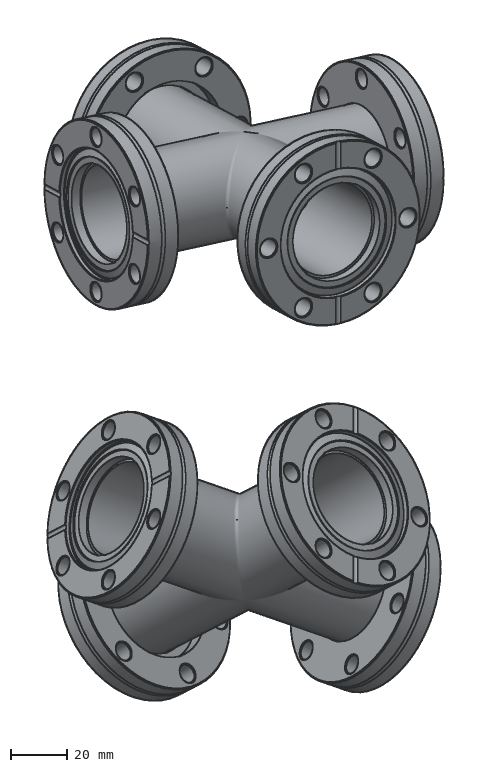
import cadquery as cq
import math

OVERALL_LENGTH = 125.0
FACE_DISTANCE = OVERALL_LENGTH / 2

TUBE_OUTER_DIAMETER = 38.1
SOCKET_DIAMETER = 38.6
TUBE_BORE_DIAMETER = 34.8
TUBE_END_DEPTH = 5.0
BRANCH_FILLET = 1.0

FLANGE_DIAMETER = 69.3
FLANGE_THICKNESS = 13.0
EDGE_CHAMFER = 0.4
RIM_GROOVE_WIDTH = 1.5
RIM_GROOVE_DEPTH = 0.3

BOLT_COUNT = 6
BOLT_HOLE_DIAMETER = 6.8
BOLT_CIRCLE_DIAMETER = 58.8
BOLT_HOLE_CHAMFER = 0.4

LEAK_GROOVE_WIDTH = 2.0
LEAK_GROOVE_DEPTH = 0.5

RECESS_DIAMETER = 48.3
RECESS_CHAMFER = 0.3
KNIFE_DIAMETER = 41.8
KNIFE_DEPTH = 0.9
LAND_DIAMETER = 41.3
LAND_DEPTH = 1.4
CONE_BASE_DIAMETER = 47.0
KNIFE_ANGLE = 20.0
NECK_BORE_DIAMETER = 36.6

INSERT_DIAMETER = 47.8
INSERT_BACK_DEPTH = 7.5
RING_BACK_BORE_DIAMETER = 45.3

ROTATABLE_ARM_ANGLES = (0, 180)
FIXED_ARM_ANGLES = (90, 270)


def revolve_along_z(points):
    """Turn a closed (radius, height) outline about the Z axis."""
    return cq.Workplane("XZ").polyline(points).close().revolve(360, (0, 0), (0, 1))


def arc_radius(width, depth):
    """Radius of the arc that is a groove's bottom, from the groove's width and depth."""
    return ((width / 2)**2 + depth**2) / (2 * depth)


def cone_depth(radius):
    """Depth of the knife cone at a radius outside its tip."""
    return KNIFE_DEPTH + (radius - KNIFE_DIAMETER / 2) * math.tan(math.radians(KNIFE_ANGLE))


def place_on_arm(body, angle, spin=0):
    """Spin a flange part, built with its face at Z = 0 facing up, and move it to the end of an arm."""
    return (
        body.rotate((0, 0, 0), (0, 0, 1), spin)
        .rotate((0, 0, 0), (0, 1, 0), 90)
        .translate((FACE_DISTANCE, 0, 0))
        .rotate((0, 0, 0), (0, 0, 1), angle)
    )


def rim_outline():
    """Outer half of the flange section from front to back, with chamfered edges."""
    radius = FLANGE_DIAMETER / 2
    return [
        (radius - EDGE_CHAMFER, 0),
        (radius, -EDGE_CHAMFER),
        (radius, -FLANGE_THICKNESS + EDGE_CHAMFER),
        (radius - EDGE_CHAMFER, -FLANGE_THICKNESS),
    ]


def knife_outline(outer_radius):
    """Sealing section from outside in: knife cone, inner bevel, land, neck bore and tube seat."""
    return [
        (outer_radius, -cone_depth(outer_radius)),
        (KNIFE_DIAMETER / 2, -KNIFE_DEPTH),
        (LAND_DIAMETER / 2, -LAND_DEPTH),
        (NECK_BORE_DIAMETER / 2, -LAND_DEPTH),
        (NECK_BORE_DIAMETER / 2, -TUBE_END_DEPTH),
        (SOCKET_DIAMETER / 2, -TUBE_END_DEPTH),
    ]


def bolt_hole_cutter():
    """Six through holes, chamfered at both faces, centered between the leak-check grooves."""
    hole_radius = BOLT_HOLE_DIAMETER / 2
    mouth_radius = hole_radius + BOLT_HOLE_CHAMFER
    hole = revolve_along_z([
        (0, 0),
        (mouth_radius, 0),
        (hole_radius, -BOLT_HOLE_CHAMFER),
        (hole_radius, -FLANGE_THICKNESS + BOLT_HOLE_CHAMFER),
        (mouth_radius, -FLANGE_THICKNESS),
        (0, -FLANGE_THICKNESS),
    ]).val()
    step = 360 / BOLT_COUNT
    positions = cq.Workplane("XY").polarArray(BOLT_CIRCLE_DIAMETER / 2, step / 2, 360, BOLT_COUNT)
    return positions.eachpoint(lambda location: hole.located(location))


def leak_groove_cutter():
    """Shallow round-bottomed groove along X across the whole sealing face."""
    groove_radius = arc_radius(LEAK_GROOVE_WIDTH, LEAK_GROOVE_DEPTH)
    axis_height = groove_radius - LEAK_GROOVE_DEPTH
    return (
        cq.Workplane("YZ")
        .center(0, axis_height)
        .circle(groove_radius)
        .extrude(FLANGE_DIAMETER / 2, both=True)
    )


def rim_groove_cutter():
    """Ring that cuts the round-bottomed groove at mid-thickness of the rim."""
    groove_radius = arc_radius(RIM_GROOVE_WIDTH, RIM_GROOVE_DEPTH)
    section_center = FLANGE_DIAMETER / 2 - RIM_GROOVE_DEPTH + groove_radius
    return (
        cq.Workplane("XZ", origin=(0, 0, -FLANGE_THICKNESS / 2))
        .center(section_center, 0)
        .circle(groove_radius)
        .revolve(360, (-section_center, 0), (-section_center, 1))
    )


def cut_common_features(blank):
    """Cut the bolt holes and grooves that every flange has."""
    return blank.cut(bolt_hole_cutter()).cut(leak_groove_cutter()).cut(rim_groove_cutter())


def make_tube_cross():
    def crossed_cylinders(diameter, half_length):
        along_x = cq.Workplane("YZ").circle(diameter / 2).extrude(half_length, both=True)
        along_y = cq.Workplane("XZ").circle(diameter / 2).extrude(half_length, both=True)
        return along_x.union(along_y)

    half_length = FACE_DISTANCE - TUBE_END_DEPTH
    outside = crossed_cylinders(TUBE_OUTER_DIAMETER, half_length)
    outside = outside.edges("%ELLIPSE").fillet(BRANCH_FILLET)
    bore = crossed_cylinders(TUBE_BORE_DIAMETER, half_length)
    return outside.cut(bore)


def make_fixed_flange():
    recess_radius = RECESS_DIAMETER / 2
    cone_base_radius = CONE_BASE_DIAMETER / 2
    blank = revolve_along_z(
        rim_outline()
        + [(SOCKET_DIAMETER / 2, -FLANGE_THICKNESS)]
        + knife_outline(cone_base_radius)[::-1]
        + [
            (recess_radius, -cone_depth(cone_base_radius)),
            (recess_radius, -RECESS_CHAMFER),
            (recess_radius + RECESS_CHAMFER, 0),
        ]
    )
    return cut_common_features(blank)


def make_bolt_ring():
    recess_radius = RECESS_DIAMETER / 2
    shoulder_radius = RING_BACK_BORE_DIAMETER / 2
    blank = revolve_along_z(
        rim_outline()
        + [
            (shoulder_radius, -FLANGE_THICKNESS),
            (shoulder_radius, -INSERT_BACK_DEPTH),
            (recess_radius, -INSERT_BACK_DEPTH),
            (recess_radius, -RECESS_CHAMFER),
            (recess_radius + RECESS_CHAMFER, 0),
        ]
    )
    return cut_common_features(blank)


def make_insert():
    insert_radius = INSERT_DIAMETER / 2
    return revolve_along_z(
        knife_outline(insert_radius)
        + [
            (SOCKET_DIAMETER / 2, -INSERT_BACK_DEPTH),
            (insert_radius, -INSERT_BACK_DEPTH),
        ]
    )


tube_cross = make_tube_cross()
fixed_flanges = [place_on_arm(make_fixed_flange(), angle, spin=90) for angle in FIXED_ARM_ANGLES]
bolt_rings = [place_on_arm(make_bolt_ring(), angle) for angle in ROTATABLE_ARM_ANGLES]
inserts = [place_on_arm(make_insert(), angle) for angle in ROTATABLE_ARM_ANGLES]

bodies = [tube_cross] + fixed_flanges + bolt_rings + inserts
result = cq.Compound.makeCompound([body.val() for body in bodies])